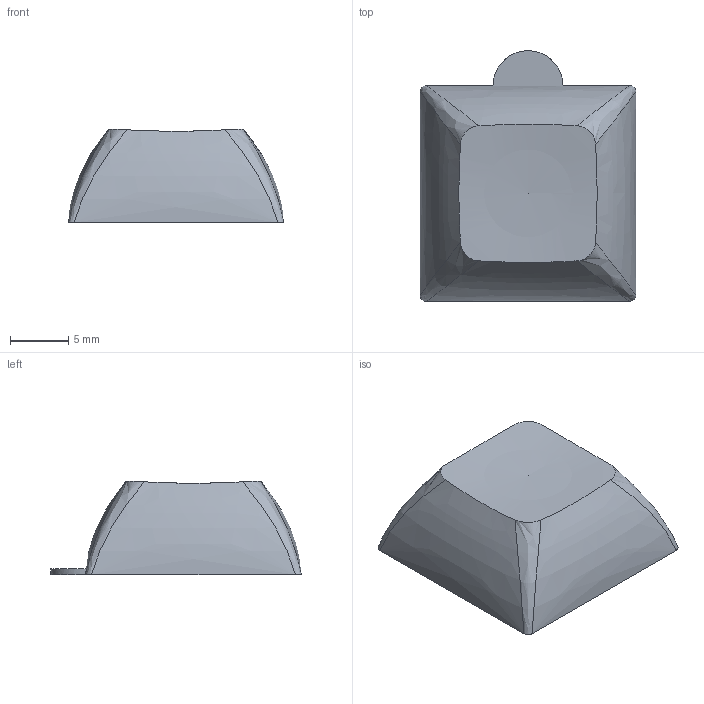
import cadquery as cq
import math

base_width = 18.5
base_corner_radius = 0.5
height = 8.0
rim_width = 11.6
rim_corner_radius = 1.6
base_wall_slope = 0.04
wall_bow = 0.38

dish_radius = 70.0

tab_radius = 3.0
tab_thickness = 0.5

rim_allowance = 0.2
loft_height = height + rim_allowance


def half_width(z):
    """Half the body width at height z: a parabola bulging outwards."""
    wall_inset = (base_width - rim_width) / 2
    curved_inset = wall_inset - base_wall_slope * height
    return base_width / 2 - base_wall_slope * z - curved_inset * (z / height) ** 2


def corner_radius(z):
    """Corner radius of the body at height z, growing evenly upwards."""
    return base_corner_radius + (rim_corner_radius - base_corner_radius) * z / height


def straight_outline(z):
    """Square with straight sides at height z."""
    width = 2 * half_width(z)
    return cq.Sketch().rect(width, width)


def bowed_outline(z):
    """Square at height z whose sides are arcs, full width at their middles."""
    middle = half_width(z)
    corner = middle - wall_bow
    return (
        cq.Sketch()
        .arc((-corner, -corner), (0, -middle), (corner, -corner))
        .arc((corner, -corner), (middle, 0), (corner, corner))
        .arc((corner, corner), (0, middle), (-corner, corner))
        .arc((-corner, corner), (-middle, 0), (-corner, -corner))
        .assemble()
    )


def section(outline, z):
    """Outline with its corners rounded, placed at height z."""
    rounded = outline(z).reset().vertices().fillet(corner_radius(z))
    return rounded.moved(cq.Location(cq.Vector(0, 0, z)))


def make_body():
    """Smooth loft from the straight foot through a bowed middle to a straight top."""
    foot = section(straight_outline, 0)
    middle = section(bowed_outline, loft_height / 2)
    top = section(straight_outline, loft_height)
    return cq.Workplane("XY").placeSketch(foot, middle, top).loft()


def make_dish():
    """Sphere that meets the four rounded rim corners at the full height."""
    corner_center = rim_width / 2 - rim_corner_radius
    corner_reach = corner_center * math.sqrt(2) + rim_corner_radius
    center_z = height + math.sqrt(dish_radius**2 - corner_reach**2)
    return cq.Workplane("XY").sphere(dish_radius).translate((0, 0, center_z))


def make_tab():
    """Thin disc centred on the edge of the foot."""
    return cq.Workplane("XY").center(0, base_width / 2).circle(tab_radius).extrude(tab_thickness)


result = make_body().cut(make_dish()).union(make_tab())